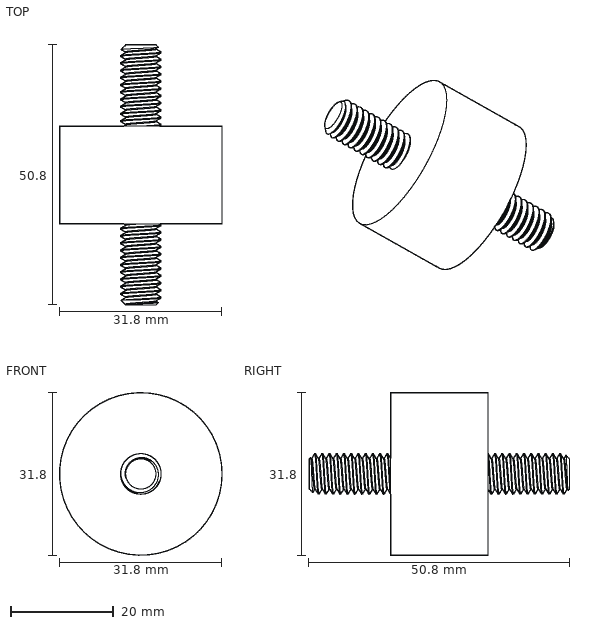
import cadquery as cq
import math

total_length = 50.8
body_diameter = 31.75
body_length = 19.05

thread_diameter = 7.9
root_diameter = 6.15
pitches_per_half_length = 18
thread_pitch = total_length / 2 / pitches_per_half_length
crest_width = thread_pitch / 8
flank_angle = math.radians(30)
helix_start = 8.4
ridge_embed = 0.15
tip_diameter = 5.9
envelope_clearance = 0.5

tip_position = total_length / 2
crest_radius = thread_diameter / 2
root_radius = root_diameter / 2
helix_turns = math.ceil((tip_position - helix_start) / thread_pitch) + 1


def make_ridge():
    """Helical ridge around Z, running past the stud tip."""
    helix = cq.Wire.makeHelix(
        thread_pitch, helix_turns * thread_pitch, root_radius
    ).translate(cq.Vector(0, 0, helix_start))
    half_crest = crest_width / 2
    inner_radius = root_radius - ridge_embed
    half_base = half_crest + (crest_radius - inner_radius) * math.tan(flank_angle)
    return (
        cq.Workplane("XZ")
        .polyline([
            (inner_radius, helix_start - half_base),
            (crest_radius, helix_start - half_crest),
            (crest_radius, helix_start + half_crest),
            (inner_radius, helix_start + half_base),
        ])
        .close()
        .sweep(cq.Workplane(obj=helix), isFrenet=True)
    )


def make_stud():
    """Threaded stud along +Z, trimmed to length with a chamfered tip."""
    core_length = helix_start + (helix_turns + 1) * thread_pitch
    core = cq.Workplane("XY").circle(root_radius).extrude(core_length)
    envelope_radius = crest_radius + envelope_clearance
    chamfer = envelope_radius - tip_diameter / 2
    envelope = (
        cq.Workplane("XY").circle(envelope_radius).extrude(tip_position)
        .faces(">Z").chamfer(chamfer)
    )
    return core.union(make_ridge()).intersect(envelope)


body = (
    cq.Workplane("XZ", origin=(0, body_length / 2, 0))
    .circle(body_diameter / 2).extrude(body_length)
)
stud = make_stud().rotate((0, 0, 0), (1, 0, 0), -90)
opposite_stud = stud.rotate((0, 0, 0), (1, 0, 0), 180)

result = body.union(stud).union(opposite_stud)